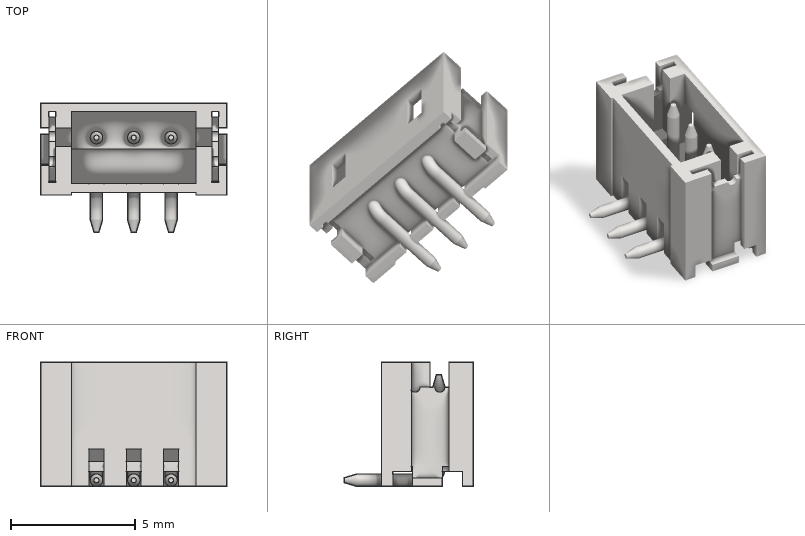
import cadquery as cq


LENGTH = 7.5
DEPTH = 3.7
HEIGHT = 5.0

CAVITY_LENGTH = 5.0
CAVITY_FRONT = 0.465
BACK_WALL = 0.34
CAVITY_BACK = DEPTH - BACK_WALL
FRONT_RELIEF = 0.1
UNDERSIDE = 0.6
LOW_FLOOR = 1.0
HIGH_FLOOR = 1.5
FLOOR_STEP = DEPTH / 2

HOLLOW_FRONT = CAVITY_FRONT
BACK_SKIRT = 0.44

SKIN = 0.34
TAB_THICKNESS = 0.27
SLOT_FRONT = 0.52
SIDE_GAP_FRONT = 1.2
SIDE_GAP_BACK = 2.71
NOTCH_WIDTH = 0.75
NOTCH_BOTTOM = 2.0

WINDOW_WIDTH = 0.77
WINDOW_TOP = 3.5

PIN_COUNT = 3
PITCH = 1.5
PIN_DIAMETER = 0.5
PIN_RADIUS = PIN_DIAMETER / 2
TIP_DIAMETER = 0.2
TIP_LENGTH = 0.5
BEND_RADIUS = 0.5
PIN_TOP = 4.5
PIN_FRONT = -1.5
PIN_Y = 2.31
PIN_SLOT_WIDTH = 0.6

TAB_WIDTH = 2.6
TAB_TOP = 4.0
TAB_MIDDLE = DEPTH / 2
SHOULDER = 0.795
STEM_WIDTH = 1.2
FOOT_THICKNESS = 0.34
SCALLOP_RADIUS = 0.2
SCALLOP_SPACING = 1.0

SKIN_INNER_X = LENGTH / 2 - SKIN
SLOT_INNER_X = SKIN_INNER_X - TAB_THICKNESS
PIN_POSITIONS = [(i - (PIN_COUNT - 1) / 2) * PITCH for i in range(PIN_COUNT)]
SIDES = (-1, 1)


def block(x_range, y_range, z_range):
    """Box between two limits on each axis; the limits of a range may come in either order."""
    x0, x1 = sorted(x_range)
    y0, y1 = sorted(y_range)
    z0, z1 = sorted(z_range)
    return cq.Workplane("XY").box(x1 - x0, y1 - y0, z1 - z0, centered=False).translate((x0, y0, z0))


def make_pin(x):
    """Round pin bent at a right angle, with a tapered tip at each end."""
    axis_z = PIN_RADIUS
    bend_top = axis_z + BEND_RADIUS
    bend_front = PIN_Y - BEND_RADIUS
    taper_top = PIN_TOP - TIP_LENGTH
    taper_front = PIN_FRONT + TIP_LENGTH

    upright = (
        cq.Workplane("XY", origin=(x, PIN_Y, bend_top))
        .circle(PIN_RADIUS)
        .extrude(taper_top - bend_top)
    )
    upright_tip = (
        cq.Workplane("XY", origin=(x, PIN_Y, taper_top))
        .circle(PIN_RADIUS)
        .workplane(offset=TIP_LENGTH)
        .circle(TIP_DIAMETER / 2)
        .loft()
    )
    bend = (
        cq.Workplane("XY", origin=(x, PIN_Y, bend_top))
        .circle(PIN_RADIUS)
        .revolve(90, (0, -BEND_RADIUS, 0), (-1, -BEND_RADIUS, 0))
    )
    tail = (
        cq.Workplane("XZ", origin=(x, bend_front, axis_z))
        .circle(PIN_RADIUS)
        .extrude(bend_front - taper_front)
    )
    tail_tip = (
        cq.Workplane("XZ", origin=(x, taper_front, axis_z))
        .circle(PIN_RADIUS)
        .workplane(offset=TIP_LENGTH)
        .circle(TIP_DIAMETER / 2)
        .loft()
    )
    return upright.union(upright_tip).union(bend).union(tail).union(tail_tip)


def make_tab(side):
    """Flat solder tab: a plate with two scallops in its top edge, a narrow stem and a foot turned outward."""
    plate_x = (side * SLOT_INNER_X, side * SKIN_INNER_X)
    foot_x = (side * SLOT_INNER_X, side * LENGTH / 2)
    plate_y = (TAB_MIDDLE - TAB_WIDTH / 2, TAB_MIDDLE + TAB_WIDTH / 2)
    stem_y = (TAB_MIDDLE - STEM_WIDTH / 2, TAB_MIDDLE + STEM_WIDTH / 2)

    plate = block(plate_x, plate_y, (SHOULDER, TAB_TOP))
    stem = block(plate_x, stem_y, (0, SHOULDER))
    foot = block(foot_x, stem_y, (0, FOOT_THICKNESS))
    scallops = (
        cq.Workplane("YZ")
        .pushPoints([(TAB_MIDDLE + s * SCALLOP_SPACING / 2, TAB_TOP) for s in SIDES])
        .circle(SCALLOP_RADIUS)
        .extrude(LENGTH / 2, both=True)
    )
    return plate.union(stem).union(foot).cut(scallops)


def make_housing(pins):
    """Open-topped shroud with a stepped floor; the pins pass through matching holes in the floor."""
    half_cavity = CAVITY_LENGTH / 2
    cavity_x = (-half_cavity, half_cavity)
    full_x = (-LENGTH / 2, LENGTH / 2)

    body = block(full_x, (0, DEPTH), (0, HEIGHT))
    body = body.cut(block(cavity_x, (0, FRONT_RELIEF), (0, HEIGHT)))

    body = body.cut(block(cavity_x, (CAVITY_FRONT, FLOOR_STEP), (LOW_FLOOR, HEIGHT)))
    body = body.cut(block(cavity_x, (FLOOR_STEP, CAVITY_BACK), (HIGH_FLOOR, HEIGHT)))

    body = body.cut(block(full_x, (HOLLOW_FRONT, DEPTH - BACK_SKIRT), (0, UNDERSIDE)))

    for side in SIDES:
        slot_x = (side * SLOT_INNER_X, side * SKIN_INNER_X)
        body = body.cut(block(slot_x, (SLOT_FRONT, CAVITY_BACK), (0, HEIGHT)))

        skin_x = (side * SKIN_INNER_X, side * LENGTH / 2)
        body = body.cut(block(skin_x, (SIDE_GAP_FRONT, SIDE_GAP_BACK), (0, HEIGHT)))

        inner_wall_x = (side * half_cavity, side * SLOT_INNER_X)
        notch_y = (SIDE_GAP_BACK - NOTCH_WIDTH, SIDE_GAP_BACK)
        body = body.cut(block(inner_wall_x, notch_y, (NOTCH_BOTTOM, HEIGHT)))

        window_x = (side * (half_cavity - WINDOW_WIDTH), side * half_cavity)
        body = body.cut(block(window_x, (CAVITY_BACK, DEPTH), (HIGH_FLOOR, WINDOW_TOP)))

    for x in PIN_POSITIONS:
        pin_slot_x = (x - PIN_SLOT_WIDTH / 2, x + PIN_SLOT_WIDTH / 2)
        body = body.cut(block(pin_slot_x, (0, CAVITY_FRONT), (0, HIGH_FLOOR)))

    for pin in pins:
        body = body.cut(pin)
    return body


pins = [make_pin(x) for x in PIN_POSITIONS]
tabs = [make_tab(side) for side in SIDES]
housing = make_housing(pins)

result = cq.Compound.makeCompound(
    [housing.val(), *[pin.val() for pin in pins], *[tab.val() for tab in tabs]]
)